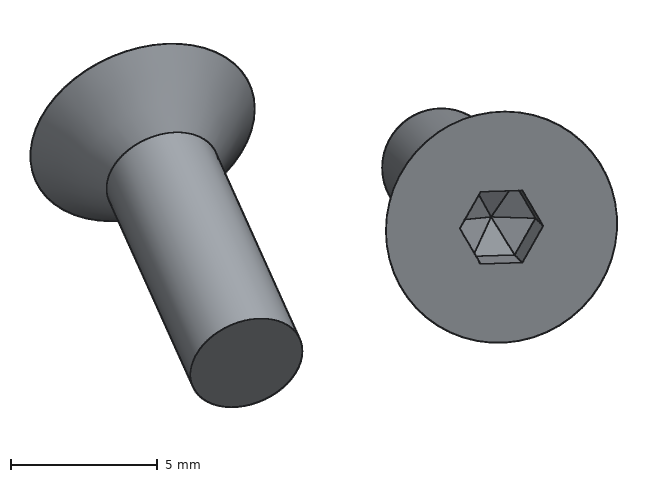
import cadquery as cq
import math

LENGTH = 12.0
HEAD_DIAMETER = 8.0
SHANK_DIAMETER = 4.0
HEAD_LENGTH = 2.3

SOCKET_ACROSS_FLATS = 2.5
SOCKET_WALL_DEPTH = 1.5
SOCKET_TIP_DEPTH = 0.52

SOCKET_SIDES = 6
SOCKET_CORNER_RADIUS = SOCKET_ACROSS_FLATS / 2 / math.cos(math.pi / SOCKET_SIDES)


def screw_body():
    """Revolve the conical head and the plain shank about the X axis."""
    return (
        cq.Workplane("XY")
        .moveTo(0, 0)
        .lineTo(0, HEAD_DIAMETER / 2)
        .lineTo(HEAD_LENGTH, SHANK_DIAMETER / 2)
        .lineTo(LENGTH, SHANK_DIAMETER / 2)
        .lineTo(LENGTH, 0)
        .close()
        .revolve(360, (0, 0, 0), (1, 0, 0))
    )


def flat_face(points):
    """Return the planar polygon through the given points."""
    return cq.Face.makeFromWires(cq.Wire.makePolygon(points, close=True))


def socket_cutter():
    """Build the hexagonal socket, with two of its corners along Y."""
    angles = [2 * math.pi * i / SOCKET_SIDES for i in range(SOCKET_SIDES)]

    def corners(x):
        return [
            cq.Vector(x, SOCKET_CORNER_RADIUS * math.cos(a), SOCKET_CORNER_RADIUS * math.sin(a))
            for a in angles
        ]

    mouth = corners(0)
    floor = corners(SOCKET_WALL_DEPTH)
    tip = cq.Vector(SOCKET_WALL_DEPTH + SOCKET_TIP_DEPTH, 0, 0)

    faces = [flat_face(mouth)]
    for i in range(SOCKET_SIDES):
        following = (i + 1) % SOCKET_SIDES
        faces.append(flat_face([mouth[i], mouth[following], floor[following], floor[i]]))
        faces.append(flat_face([floor[i], floor[following], tip]))
    return cq.Workplane(cq.Solid.makeSolid(cq.Shell.makeShell(faces)))


result = screw_body().cut(socket_cutter())